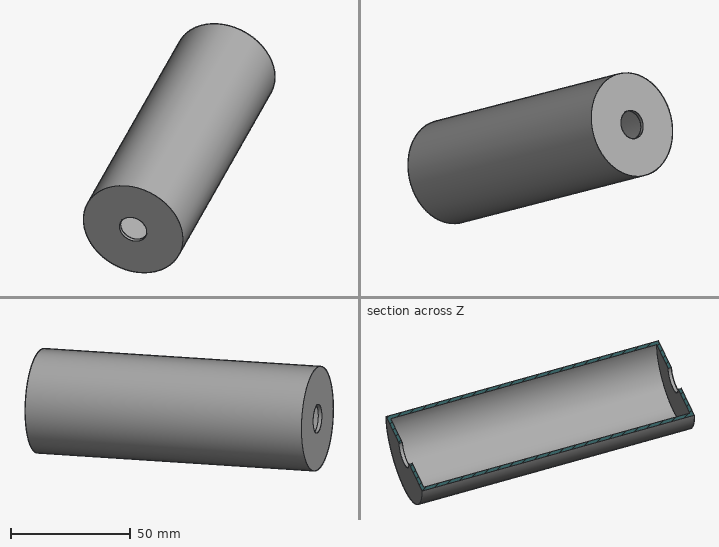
import cadquery as cq

length = 121.6
outer_diameter = 44.0
cavity_diameter = 40.0
hole_diameter = 12.0
end_wall_thickness = 1.6


def cylinder_along_y(diameter, start_y, end_y):
    """Solid cylinder centred on the Y axis between two Y positions."""
    plane = cq.Workplane("XZ", origin=(0, end_y, 0))
    return plane.circle(diameter / 2).extrude(end_y - start_y)


body = cylinder_along_y(outer_diameter, -length / 2, length / 2)

cavity_end = length / 2 - end_wall_thickness
cavity = cylinder_along_y(cavity_diameter, -cavity_end, cavity_end)

axle_hole = cylinder_along_y(hole_diameter, -length / 2, length / 2)

result = body.cut(cavity).cut(axle_hole)